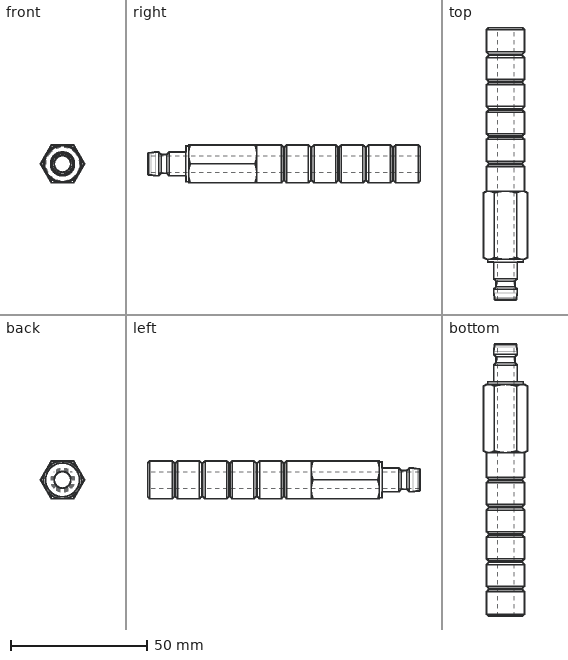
import cadquery as cq
import math

length = 100.0
tip_y = -length / 2

across_flats = 14.0
across_corners = across_flats / math.cos(math.pi / 6)
hex_start = 15.0
hex_length = 25.0
hex_end = hex_start + hex_length
corner_bevel = math.radians(30)

handle_radius = across_flats / 2
end_chamfer = 0.8
groove_count = 5
groove_pitch = 10.0
groove_depth = 0.8
groove_floor = 0.5

collar_radius = 6.6
collar_length = 1.0
nipple_radius = 4.4
neck_radius = 3.5
neck_bevel = nipple_radius - neck_radius
neck_start = 4.9
neck_end = 7.0
lip_end = 2.8
nose_radius = 4.1
nose_start = 1.1
tip_chamfer = 0.3
tip_chamfer_length = 0.4
bore_radius = 3.0


def revolve_profile(points):
    """Revolve (radius, distance from tip) points about the Y axis."""
    profile = [(radius, tip_y + distance) for radius, distance in points]
    return cq.Workplane("XY").polyline(profile).close().revolve(360, (0, 0), (0, 1))


def make_handle():
    inner_radius = handle_radius - groove_depth
    half_floor = groove_floor / 2
    half_mouth = half_floor + groove_depth
    points = [(0, hex_start), (handle_radius, hex_start)]
    for index in range(groove_count, 0, -1):
        center = length - index * groove_pitch
        points += [
            (handle_radius, center - half_mouth),
            (inner_radius, center - half_floor),
            (inner_radius, center + half_floor),
            (handle_radius, center + half_mouth),
        ]
    points += [
        (handle_radius, length - end_chamfer),
        (handle_radius - end_chamfer, length),
        (0, length),
    ]
    return revolve_profile(points)


def make_hex():
    prism = (
        cq.Workplane("XZ", origin=(0, tip_y + hex_start, 0))
        .polygon(6, across_corners)
        .extrude(-hex_length)
    )
    corner_radius = across_corners / 2
    bevel_length = (corner_radius - handle_radius) * math.tan(corner_bevel)
    envelope = revolve_profile([
        (0, hex_start),
        (handle_radius, hex_start),
        (corner_radius, hex_start + bevel_length),
        (corner_radius, hex_end - bevel_length),
        (handle_radius, hex_end),
        (0, hex_end),
    ])
    return prism.intersect(envelope)


def make_nipple():
    collar_start = hex_start - collar_length
    return revolve_profile([
        (0, 0),
        (nose_radius - tip_chamfer, 0),
        (nose_radius, tip_chamfer_length),
        (nose_radius, nose_start),
        (nipple_radius, lip_end),
        (nipple_radius, neck_start - neck_bevel),
        (neck_radius, neck_start),
        (neck_radius, neck_end),
        (nipple_radius, neck_end + neck_bevel),
        (nipple_radius, collar_start),
        (collar_radius, collar_start),
        (collar_radius, hex_start),
        (0, hex_start),
    ])


def make_bore():
    return revolve_profile([
        (0, 0),
        (bore_radius, 0),
        (bore_radius, length),
        (0, length),
    ])


result = make_handle().union(make_hex()).union(make_nipple()).cut(make_bore())